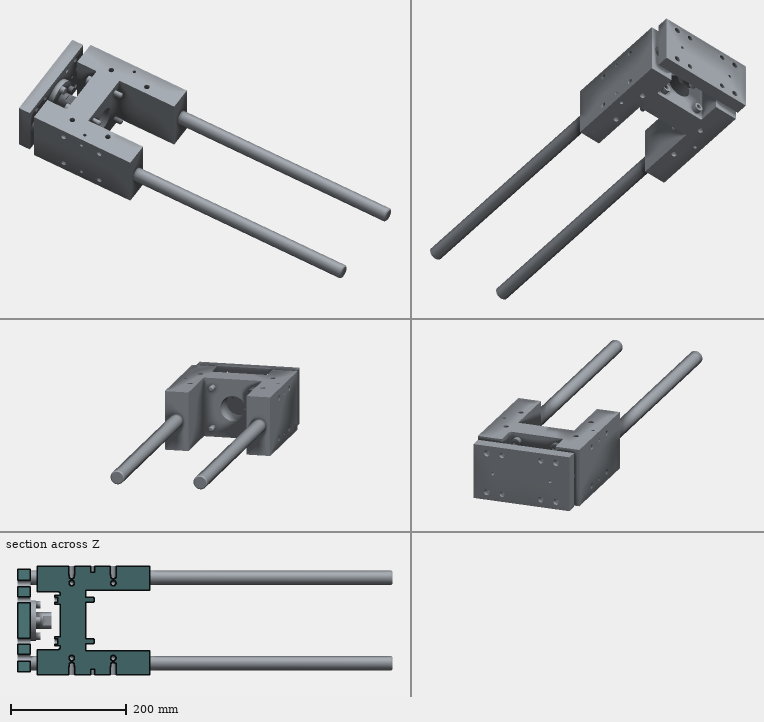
import cadquery as cq
import math

total_length = 651.0
mount_pitch = 72.0
half_pitch = mount_pitch / 2
tip_angle = 118.0
pin_hole_diameter = 6.0

plate_thickness = 22.0
plate_width = 178.5
plate_height = 100.0
plate_outer_hole_y = 64.5
plate_outer_hole_diameter = 11.0
plate_inner_hole_diameter = 10.0
plate_pin_y = 53.5

rod_diameter = 25.0
rod_y = 74.0
rod_chamfer = 2.0

flange_diameter = 70.0
flange_thickness = 10.0
flange_bolt_circle = 55.0
flange_bolt_count = 4
flange_bolt_head_diameter = 13.0
flange_bolt_head_height = 8.0
stub_diameter = 29.0
stub_length = 27.0
stub_across_flats = 24.0
stub_flat_length = 14.0

housing_start = 34.0
housing_length = 196.0
housing_width = 189.0
housing_height = 105.0
front_pocket_depth = 40.0
front_pocket_width = 99.5
web_thickness = 45.0
rear_pocket_width = 104.0
pocket_corner_radius = 3.0
web_bore_diameter = 45.0

thread_diameter = 10.0
core_diameter = 8.5
thread_depth = 15.0
core_depth = 19.5
pin_hole_depth = 10.0
hole_centre_x = 130.0
top_thread_y = 65.0
top_pin_y = 83.0

screw_diameter = 10.0
screw_head_diameter = 16.0
screw_head_height = 10.0
screw_socket_diameter = 8.5
screw_socket_depth = 5.0
screw_protrusion = 15.0
screw_chamfer = 2.0

housing_end = housing_start + housing_length
web_front = housing_start + front_pocket_depth
web_back = web_front + web_thickness
SIGNS = (-1, 1)
square_pattern = [(y * half_pitch, z * half_pitch) for y in SIGNS for z in SIGNS]
rod_points = [(side * rod_y, 0) for side in SIGNS]


def box_along_x(start, length, width, height):
    """Box centred on the X axis, starting at the given X."""
    box = cq.Workplane("XY").box(length, width, height, centered=(False, True, True))
    return box.translate((start, 0, 0))


def rod_along_x(start, length, diameter, points):
    """Cylinders pointing toward +X, one at each (y, z) point."""
    return cq.Workplane("YZ", origin=(start, 0, 0)).pushPoints(points).circle(diameter / 2).extrude(length)


def blind_cylinder(position, direction, diameter, depth):
    """Cutter for a flat-bottomed hole."""
    return cq.Solid.makeCylinder(diameter / 2, depth, cq.Vector(*position), cq.Vector(*direction))


def cut_pin_hole(body, position, direction):
    return body.cut(blind_cylinder(position, direction, pin_hole_diameter, pin_hole_depth))


def cut_threaded_hole(body, position, direction):
    """Cut a thread-diameter hole and a deeper core hole that ends in a drill cone."""
    thread = blind_cylinder(position, direction, thread_diameter, thread_depth)
    core = blind_cylinder(position, direction, core_diameter, core_depth)
    core_radius = core_diameter / 2
    cone_height = core_radius / math.tan(math.radians(tip_angle / 2))
    along = cq.Vector(*direction)
    cone = cq.Solid.makeCone(core_radius, 0, cone_height, cq.Vector(*position) + along * core_depth, along)
    return body.cut(thread).cut(core).cut(cone)


def make_plate():
    plate = box_along_x(0, plate_thickness, plate_width, plate_height)
    outer_points = [(y * plate_outer_hole_y, z * half_pitch) for y in SIGNS for z in SIGNS]
    plate = plate.cut(rod_along_x(0, plate_thickness, plate_outer_hole_diameter, outer_points))
    plate = plate.cut(rod_along_x(0, plate_thickness, plate_inner_hole_diameter, square_pattern))
    pin_points = [(side * plate_pin_y, 0) for side in SIGNS]
    return plate.cut(rod_along_x(0, plate_thickness, pin_hole_diameter, pin_points))


def make_rods():
    rods = rod_along_x(plate_thickness, total_length - plate_thickness, rod_diameter, rod_points)
    return rods.faces(">X").chamfer(rod_chamfer)


def make_coupling():
    flange_end = plate_thickness + flange_thickness
    bolt_radius = flange_bolt_circle / 2
    bolt_angles = [math.tau * index / flange_bolt_count for index in range(flange_bolt_count)]
    bolt_points = [(bolt_radius * math.cos(angle), bolt_radius * math.sin(angle)) for angle in bolt_angles]
    flange = rod_along_x(plate_thickness, flange_thickness, flange_diameter, [(0, 0)])
    heads = rod_along_x(flange_end, flange_bolt_head_height, flange_bolt_head_diameter, bolt_points)
    stub = rod_along_x(flange_end, stub_length, stub_diameter, [(0, 0)])
    flat_start = flange_end + stub_length - stub_flat_length
    removed = box_along_x(flat_start, stub_flat_length, stub_diameter, stub_diameter)
    removed = removed.cut(box_along_x(flat_start, stub_flat_length, stub_diameter, stub_across_flats))
    return flange.union(heads).union(stub.cut(removed))


def make_slide():
    """One body: the plate with both guide rods and the coupling."""
    return make_plate().union(make_rods()).union(make_coupling())


def make_housing_block():
    block = box_along_x(housing_start, housing_length, housing_width, housing_height)
    front_pocket = box_along_x(housing_start, front_pocket_depth, front_pocket_width, housing_height)
    block = block.cut(front_pocket.edges("|Z and >X").fillet(pocket_corner_radius))
    block = block.cut(box_along_x(web_back, housing_end - web_back, rear_pocket_width, housing_height))
    block = block.cut(rod_along_x(web_front, web_thickness, web_bore_diameter, [(0, 0)]))
    return block.cut(rod_along_x(housing_start, housing_length, rod_diameter, rod_points))


def cut_side_holes(block):
    for side in SIGNS:
        face_y = side * housing_width / 2
        inward = (0, -side, 0)
        for level in SIGNS:
            z = level * half_pitch
            for end in SIGNS:
                block = cut_threaded_hole(block, (hole_centre_x + end * half_pitch, face_y, z), inward)
            block = cut_pin_hole(block, (hole_centre_x, face_y, z), inward)
    return block


def cut_top_and_bottom_holes(block):
    for level in SIGNS:
        face_z = level * housing_height / 2
        inward = (0, 0, -level)
        for side in SIGNS:
            for end in SIGNS:
                x = hole_centre_x + end * half_pitch
                block = cut_threaded_hole(block, (x, side * top_thread_y, face_z), inward)
            block = cut_pin_hole(block, (hole_centre_x, side * top_pin_y, face_z), inward)
    return block


def make_screws():
    head_front = web_front - screw_head_height
    heads = rod_along_x(head_front, screw_head_height, screw_head_diameter, square_pattern)
    heads = heads.cut(rod_along_x(head_front, screw_socket_depth, screw_socket_diameter, square_pattern))
    shanks = rod_along_x(web_back, screw_protrusion, screw_diameter, square_pattern)
    return heads, shanks.faces(">X").chamfer(screw_chamfer)


def make_housing():
    """One body: the bored block with its four screws."""
    housing = cut_top_and_bottom_holes(cut_side_holes(make_housing_block()))
    for screws in make_screws():
        housing = housing.union(screws)
    return housing


slide = make_slide()
housing = make_housing()
result = cq.Compound.makeCompound([slide.val(), housing.val()])